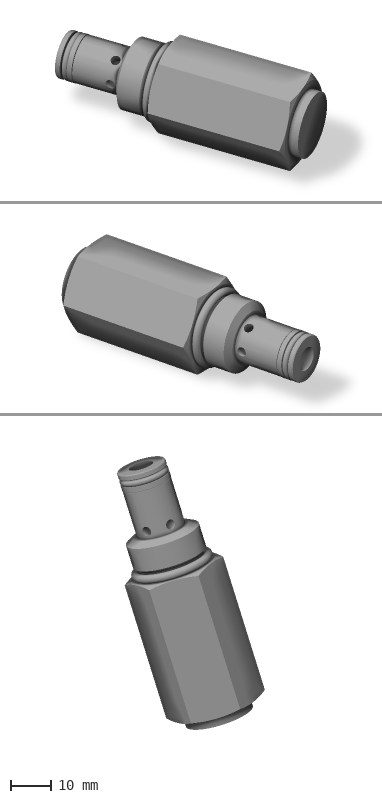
import cadquery as cq
import math


SLEEVE_END = 17.3
HEX_START = 27.8
HEX_END = 65.25
TOTAL_LENGTH = 67.8

SLEEVE_DIAMETER = 12.6
BORE_DIAMETER = 6.4
TIP_DIAMETER = 12.3
TIP_CHAMFER_LENGTH = 0.3
PORT_DIAMETER = 2.5
PORT_X = 15.25
PORT_COUNT = 6

GROOVE_START = 1.35
GROOVE_END = 4.8
GROOVE_DIAMETER = 10.0
SEAL_DIAMETER = 12.75
SLEEVE_SEAL_SECTION = 1.6
BACKUP_START = 3.3
BACKUP_END = 4.6

COLLAR_DIAMETER = 19.05
COLLAR_FRONT_DIAMETER = 14.7
COLLAR_FRONT_CHAMFER = 1.2
COLLAR_REAR_CHAMFER_START = 24.6
COLLAR_REAR_CHAMFER_END = 25.5
NECK_DIAMETER = 16.8
NECK_SEAL_DIAMETER = 21.1
NECK_SEAL_SECTION = 2.2
HEX_ACROSS_FLATS = 22.25
HEX_ACROSS_CORNERS = HEX_ACROSS_FLATS / math.cos(math.pi / 6)
HEX_END_DIAMETER = 22.1
HEX_CHAMFER_LENGTH = 0.7

CAP_DIAMETER = 17.5


def cylinder_x(diameter, start, end):
    """Solid cylinder on the X axis between two stations."""
    return cq.Workplane("YZ", origin=(start, 0, 0)).circle(diameter / 2).extrude(end - start)


def ring_x(outer_diameter, inner_diameter, start, end):
    """Flat-sided ring on the X axis between two stations."""
    return cylinder_x(outer_diameter, start, end).cut(cylinder_x(inner_diameter, start, end))


def revolve_x(points):
    """Solid of revolution from (x, radius) points, about the X axis."""
    return cq.Workplane("XY").polyline(points).close().revolve(360, (0, 0, 0), (1, 0, 0))


def o_ring(outer_diameter, section_diameter, seat_diameter, rear_x):
    """Round-section ring pressed flat where it rests on its seat, with its rear side at rear_x."""
    section_radius = section_diameter / 2
    center_radius = outer_diameter / 2 - section_radius
    ring = (
        cq.Workplane("XY", origin=(rear_x - section_radius, center_radius, 0))
        .circle(section_radius)
        .revolve(360, (0, -center_radius, 0), (1, -center_radius, 0))
    )
    return ring.cut(cylinder_x(seat_diameter, rear_x - section_diameter, rear_x))


def make_sleeve():
    """Hollow sleeve with a seal groove and a ring of radial ports."""
    sleeve = revolve_x([
        (0, 0),
        (0, TIP_DIAMETER / 2),
        (TIP_CHAMFER_LENGTH, SLEEVE_DIAMETER / 2),
        (SLEEVE_END, SLEEVE_DIAMETER / 2),
        (SLEEVE_END, 0),
    ])
    sleeve = sleeve.cut(cylinder_x(BORE_DIAMETER, 0, SLEEVE_END))
    sleeve = sleeve.cut(ring_x(SLEEVE_DIAMETER, GROOVE_DIAMETER, GROOVE_START, GROOVE_END))
    port = (
        cq.Workplane("XZ", origin=(PORT_X, 0, 0))
        .circle(PORT_DIAMETER / 2)
        .extrude(SLEEVE_DIAMETER)
    )
    for index in range(PORT_COUNT):
        sleeve = sleeve.cut(port.rotate((0, 0, 0), (1, 0, 0), index * 360 / PORT_COUNT))
    return sleeve


def make_hexagon():
    """Hexagon with flats facing up and down and conically chamfered ends."""
    hexagon = (
        cq.Workplane("YZ", origin=(HEX_START, 0, 0))
        .polygon(6, HEX_ACROSS_CORNERS)
        .extrude(HEX_END - HEX_START)
    )
    end_radius = HEX_END_DIAMETER / 2
    corner_radius = HEX_ACROSS_CORNERS / 2
    envelope = revolve_x([
        (HEX_START, 0),
        (HEX_START, end_radius),
        (HEX_START + HEX_CHAMFER_LENGTH, corner_radius),
        (HEX_END - HEX_CHAMFER_LENGTH, corner_radius),
        (HEX_END, end_radius),
        (HEX_END, 0),
    ])
    return hexagon.intersect(envelope)


def make_housing():
    """Hexagon carrying the seal neck and the chamfered collar."""
    neck_radius = NECK_DIAMETER / 2
    collar_radius = COLLAR_DIAMETER / 2
    collar = revolve_x([
        (SLEEVE_END, 0),
        (SLEEVE_END, COLLAR_FRONT_DIAMETER / 2),
        (SLEEVE_END + COLLAR_FRONT_CHAMFER, collar_radius),
        (COLLAR_REAR_CHAMFER_START, collar_radius),
        (COLLAR_REAR_CHAMFER_END, neck_radius),
        (HEX_START, neck_radius),
        (HEX_START, 0),
    ])
    return make_hexagon().union(collar)


sleeve = make_sleeve()
sleeve_o_ring = o_ring(SEAL_DIAMETER, SLEEVE_SEAL_SECTION, GROOVE_DIAMETER, BACKUP_START)
backup_ring = ring_x(SEAL_DIAMETER, GROOVE_DIAMETER, BACKUP_START, BACKUP_END)
housing = make_housing()
housing_o_ring = o_ring(NECK_SEAL_DIAMETER, NECK_SEAL_SECTION, NECK_DIAMETER, HEX_START)
end_cap = cylinder_x(CAP_DIAMETER, HEX_END, TOTAL_LENGTH)

result = cq.Compound.makeCompound([
    sleeve.solids().val(),
    sleeve_o_ring.solids().val(),
    backup_ring.solids().val(),
    housing.solids().val(),
    housing_o_ring.solids().val(),
    end_cap.solids().val(),
])